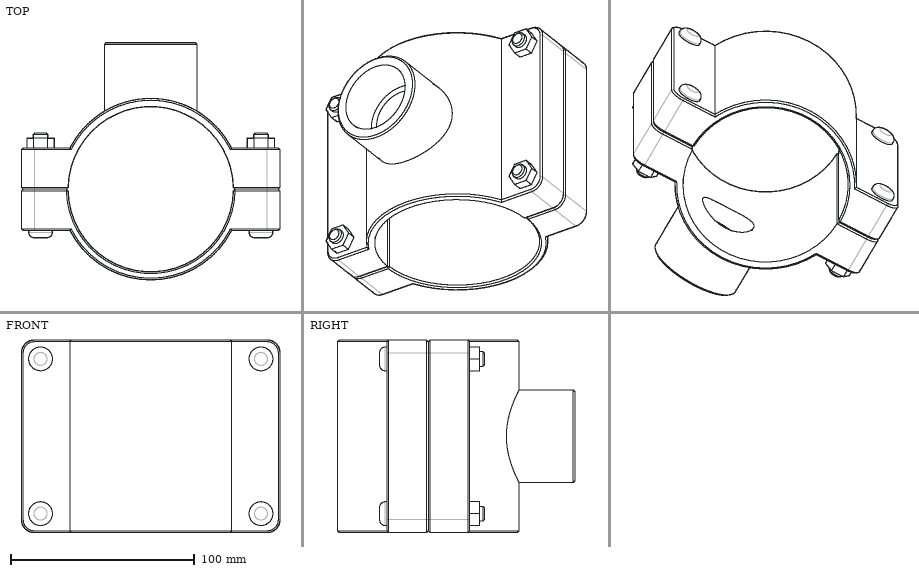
import cadquery as cq
import math

length = 105.0
flange_width = 141.0
flange_thickness = 22.5
flange_corner_radius = 7.0
ring_radius = 49.5
bore_radius = 45.0
edge_chamfer = 1.0

branch_diameter = 50.6
branch_end = 80.0
branch_bore_diameter = 32.0
socket_diameter = 38.9
socket_depth = 25.0

bolt_x = 60.0
bolt_z = 42.2
bolt_diameter = 8.0
bolt_tip = 30.7
bolt_tip_chamfer = 1.0
head_diameter = 13.0
head_height = 4.0
head_fillet = 3.0
nut_across_flats = 13.0
nut_height = 5.2
nut_across_corners = nut_across_flats / math.cos(math.pi / 6)


def cylinder_y(diameter, y_start, y_end, x=0, z=0):
    """Cylinder parallel to Y between two Y positions."""
    base = cq.Workplane("XZ", origin=(x, y_start, z))
    return base.circle(diameter / 2).extrude(y_start - y_end)


def make_bore():
    """Cylinder of the clamped pipe, running the full length."""
    return cq.Workplane("XY").cylinder(length, bore_radius)


def is_bore_edge(edge):
    """True for a circular edge with the radius of the pipe bore."""
    return math.isclose(edge.radius(), bore_radius)


def make_half_shell(chamfer_bore_ends):
    """Half shell on the +Y side, with its split face on Y = 0."""
    flanges = (
        cq.Workplane("XY")
        .box(flange_width, flange_thickness, length, centered=(True, False, True))
        .edges("|Y")
        .fillet(flange_corner_radius)
        .faces(">Y")
        .chamfer(edge_chamfer)
    )
    ring = (
        cq.Workplane("XY")
        .cylinder(length, ring_radius)
        .faces("|Z")
        .chamfer(edge_chamfer)
    )
    back_space = cq.Workplane("XY").box(
        flange_width, ring_radius, length, centered=(True, False, True)
    )
    shell = flanges.union(ring.intersect(back_space)).cut(make_bore())

    chamfered_edges = shell.faces("<Y").edges()
    if chamfer_bore_ends:
        bore_ends = shell.edges("%CIRCLE").filter(is_bore_edge)
        chamfered_edges = chamfered_edges.add(bore_ends)
    return chamfered_edges.chamfer(edge_chamfer)


def add_branch(body):
    """Join the branch tube to the shell and open it into the pipe bore."""
    tube = cylinder_y(branch_diameter, 0, branch_end).faces(">Y").chamfer(edge_chamfer)
    passage = cylinder_y(branch_bore_diameter, 0, branch_end)
    socket = cylinder_y(socket_diameter, branch_end - socket_depth, branch_end)
    inside_wall = cq.Workplane("XY").cylinder(length, (ring_radius + bore_radius) / 2)
    return body.union(tube.cut(inside_wall)).cut(passage).cut(socket)


def make_bolt(x, z):
    """Round-headed bolt with its hexagonal nut."""
    head_top = -flange_thickness - head_height
    shank = cylinder_y(bolt_diameter, -flange_thickness, bolt_tip, x, z)
    shank = shank.faces(">Y").chamfer(bolt_tip_chamfer)
    head = cylinder_y(head_diameter, head_top, -flange_thickness, x, z)
    head = head.faces("<Y").edges().fillet(head_fillet)
    nut = (
        cq.Workplane("XZ", origin=(x, flange_thickness, z))
        .polygon(6, nut_across_corners)
        .extrude(-nut_height)
    )
    return shank.union(head).union(nut)


back_half = add_branch(make_half_shell(chamfer_bore_ends=False))
front_half = make_half_shell(chamfer_bore_ends=True).mirror("XZ")

result = back_half.union(front_half)
for side_x in (-bolt_x, bolt_x):
    for side_z in (-bolt_z, bolt_z):
        result = result.union(make_bolt(side_x, side_z))